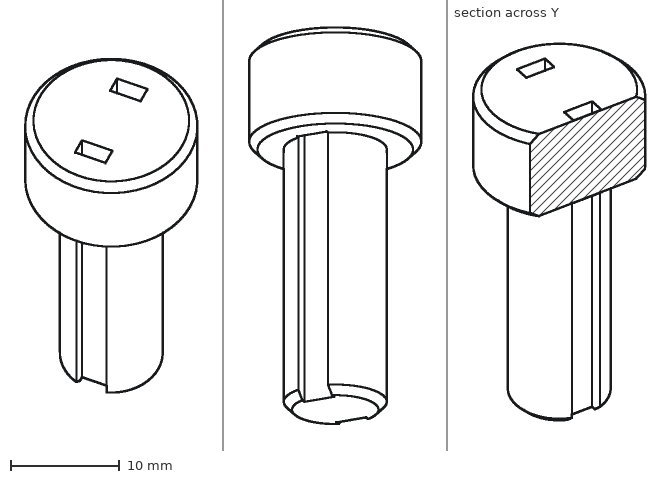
import cadquery as cq

total_height = 34.8
head_diameter = 15.87
head_height = 9.4
shaft_diameter = 9.5
edge_chamfer = 0.75
slot_width = 3.05
slot_depth = 1.55
slot_floor_offset = 3.2

shaft_height = total_height - head_height
slot_center_offset = slot_floor_offset + slot_depth / 2


def make_shaft():
    """Round shaft standing on z = 0, chamfered at its free end."""
    shaft = cq.Workplane("XY").circle(shaft_diameter / 2).extrude(shaft_height)
    return shaft.faces("<Z").chamfer(edge_chamfer)


def make_head():
    """Round head on top of the shaft, chamfered on both rims."""
    head = cq.Workplane("XY").workplane(offset=shaft_height)
    head = head.circle(head_diameter / 2).extrude(head_height)
    return head.faces("<Z or >Z").chamfer(edge_chamfer)


def make_slots():
    """Two opposite slots that pierce the head and groove the full shaft length."""
    centers = [(0, side * slot_center_offset) for side in (-1, 1)]
    slots = cq.Workplane("XY").pushPoints(centers)
    return slots.rect(slot_width, slot_depth).extrude(total_height)


result = make_shaft().union(make_head()).cut(make_slots())